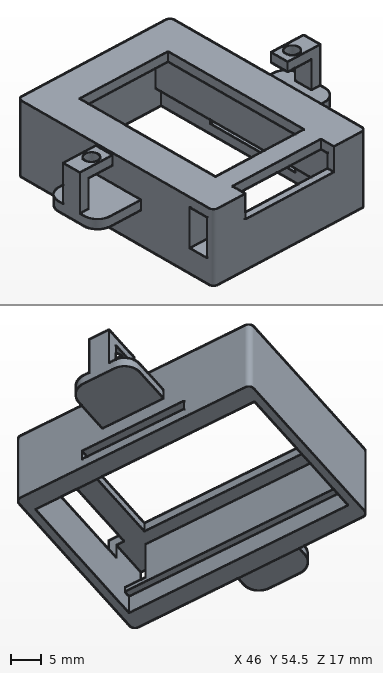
import cadquery as cq

overall_length = 54.5
total_height = 17.0

case_x = 46.0
case_y = 34.55
case_height = 15.0
corner_radius = 1.0

cover_thickness = 2.0
end_wall = 1.5
cavity_x = case_x - 2 * end_wall
cavity_y = 25.0
bottom_recess_y = 27.5
bottom_recess_height = 4.0

window_x = 31.95
window_y = 20.05
notch_length = 3.05
notch_width = window_y
notch_depth = 5.0
side_hole_width = 4.05
side_hole_bottom = 5.0
back_slot_width = 20.0
back_slot_bottom = 2.0

tab_length = (overall_length - case_y) / 2
tab_width = 12.0
tab_bottom = 7.0
tab_radius = 3.0
arm_width = 3.9
arm_thickness = 2.0
arm_reach = 7.4
arm_hole_diameter = 2.9
arm_hole_inset = 4.5


def block(x_range, y_range, z_range):
    """Box between the given lower and upper limits on each axis."""
    corner = (x_range[0], y_range[0], z_range[0])
    size = [upper - lower for lower, upper in (x_range, y_range, z_range)]
    return cq.Workplane("XY").box(*size, centered=False).translate(corner)


def centred(width):
    """Limits of a span centred on zero."""
    return (-width / 2, width / 2)


def make_case():
    """Open-bottomed case with a framed cover and wall openings."""
    cover_bottom = case_height - cover_thickness
    cavity_end = cavity_x / 2
    body = cq.Workplane("XY").box(case_x, case_y, case_height, centered=(True, True, False))
    body = body.edges("|Z").fillet(corner_radius)

    cavity = block(centred(cavity_x), centred(cavity_y), (0, cover_bottom))
    bottom_recess = block(centred(cavity_x), centred(bottom_recess_y), (0, bottom_recess_height))
    window = block(centred(window_x), centred(window_y), (cover_bottom, case_height))
    notch = block(
        (case_x / 2 - notch_length, case_x / 2),
        centred(notch_width),
        (case_height - notch_depth, case_height),
    )
    side_hole = block(
        (cavity_end - side_hole_width, cavity_end),
        (-case_y / 2, 0),
        (side_hole_bottom, cover_bottom),
    )
    back_slot = block(
        centred(back_slot_width),
        (0, case_y / 2),
        (back_slot_bottom, bottom_recess_height),
    )
    for opening in (cavity, bottom_recess, window, notch, side_hole, back_slot):
        body = body.cut(opening)
    return body


def make_tab():
    """Tab on the +Y side carrying a post and an inward arm with a screw hole."""
    outer_y = overall_length / 2
    inner_y = case_y / 2
    tab = block(centred(tab_width), (inner_y, inner_y + tab_length), (tab_bottom, tab_bottom + arm_thickness))
    tab = tab.edges("|Z and >Y").fillet(tab_radius)
    post = block(centred(arm_width), (outer_y - arm_thickness, outer_y), (tab_bottom, total_height))
    arm_bottom = total_height - arm_thickness
    arm = block(centred(arm_width), (outer_y - arm_reach, outer_y), (arm_bottom, total_height))
    hole = (
        cq.Workplane("XY", origin=(0, outer_y - arm_hole_inset, arm_bottom))
        .circle(arm_hole_diameter / 2)
        .extrude(arm_thickness)
    )
    return tab.union(post).union(arm.cut(hole))


back_tab = make_tab()
front_tab = back_tab.mirror("XZ")
result = make_case().union(back_tab).union(front_tab)